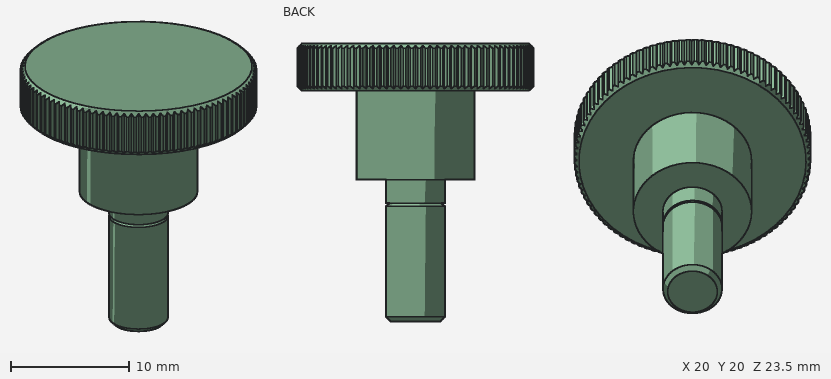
import cadquery as cq
import math

head_diameter = 20.0
head_height = 4.0
head_chamfer = 0.4

groove_count = 100
groove_depth = 0.22
groove_angle = 85.0

collar_diameter = 10.0
collar_length = 7.5

shank_diameter = 5.0
shank_length = 12.0
neck_length = 2.0
relief_width = 0.25
relief_depth = 0.3
tip_chamfer = 0.4

collar_bottom = 0.0
head_bottom = collar_bottom + collar_length
relief_top = collar_bottom - neck_length
relief_bottom = relief_top - relief_width
shank_tip = collar_bottom - shank_length


def make_cylinder(diameter, bottom, height):
    return cq.Workplane("XY").workplane(offset=bottom).circle(diameter / 2).extrude(height)


def make_knurl_outline():
    """Closed rim outline: V grooves separated by lands that lie on the head diameter."""
    rim_radius = head_diameter / 2
    root_radius = rim_radius - groove_depth
    groove_half_width = groove_depth * math.tan(math.radians(groove_angle / 2))
    half_groove = math.asin(groove_half_width / rim_radius)
    pitch = 2 * math.pi / groove_count

    def point(radius, angle):
        return (radius * math.cos(angle), radius * math.sin(angle))

    outline = cq.Workplane("XY").workplane(offset=head_bottom)
    outline = outline.moveTo(*point(rim_radius, -half_groove))
    for index in range(groove_count):
        root = index * pitch
        land_start = root + half_groove
        land_middle = root + pitch / 2
        land_end = root + pitch - half_groove
        outline = outline.lineTo(*point(root_radius, root))
        outline = outline.lineTo(*point(rim_radius, land_start))
        outline = outline.threePointArc(point(rim_radius, land_middle), point(rim_radius, land_end))
    return outline.close()


def make_head():
    """Knurled disc trimmed by a chamfered blank, so the chamfers cut across the teeth."""
    blank = make_cylinder(head_diameter, head_bottom, head_height).edges().chamfer(head_chamfer)
    return make_knurl_outline().extrude(head_height).intersect(blank)


def make_shank():
    """Chamfered shank with a relief that is square above and tapered below."""
    shank_radius = shank_diameter / 2
    relief_radius = shank_radius - relief_depth
    profile = (
        cq.Workplane("XZ")
        .moveTo(0, collar_bottom)
        .lineTo(shank_radius, collar_bottom)
        .lineTo(shank_radius, relief_top)
        .lineTo(relief_radius, relief_top)
        .lineTo(shank_radius, relief_bottom)
        .lineTo(shank_radius, shank_tip + tip_chamfer)
        .lineTo(shank_radius - tip_chamfer, shank_tip)
        .lineTo(0, shank_tip)
        .close()
    )
    return profile.revolve(360, (0, 0, 0), (0, 1, 0))


collar = make_cylinder(collar_diameter, collar_bottom, collar_length)
result = make_head().union(collar).union(make_shank())